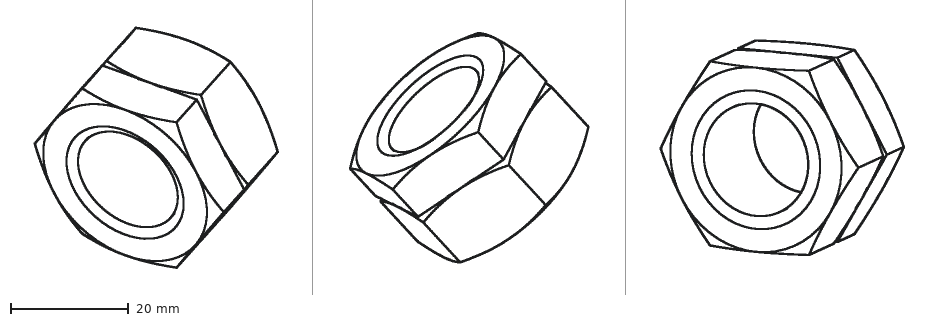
import cadquery as cq
import math

hexagon_sides = 6
across_corners = 36.95
corner_radius = across_corners / 2
flat_radius = corner_radius * math.cos(math.pi / hexagon_sides)

corner_chamfer_angle = 30.0
corner_chamfer_length = (corner_radius - flat_radius) * math.tan(math.radians(corner_chamfer_angle))

total_length = 21.4
head_length = 8.4

countersink_face_angle = 30.0
bore_radius = 19.5 / 2
countersink_radius = 22.9 / 2
countersink_depth = (countersink_radius - bore_radius) * math.tan(math.radians(countersink_face_angle))

sleeve_radius = 24.0 / 2

front_y = -total_length / 2
joint_y = front_y + head_length
back_y = total_length / 2


def revolve_about_axis(outline):
    """Turn a closed (radius, y) outline about the Y axis."""
    return cq.Workplane("XY").polyline(outline).close().revolve(360, (0, 0), (0, 1))


def cylinder(radius, start_y, end_y):
    """Round bar along Y."""
    return cq.Workplane("XZ", origin=(0, end_y, 0)).circle(radius).extrude(end_y - start_y)


def chamfered_hexagon(start_y, end_y, chamfer_end):
    """Hexagonal bar along Y, corner-chamfered at its start and optionally at its end."""
    prism = (
        cq.Workplane("XZ", origin=(0, end_y, 0))
        .polygon(hexagon_sides, across_corners)
        .extrude(end_y - start_y)
    )
    envelope = [
        (0, start_y),
        (flat_radius, start_y),
        (corner_radius, start_y + corner_chamfer_length),
    ]
    if chamfer_end:
        envelope += [(corner_radius, end_y - corner_chamfer_length), (flat_radius, end_y)]
    else:
        envelope += [(corner_radius, end_y)]
    envelope += [(0, end_y)]
    return prism.intersect(revolve_about_axis(envelope))


def countersunk_bore():
    """Cutter for the through bore and the countersink at the head face."""
    return revolve_about_axis([
        (0, front_y),
        (countersink_radius, front_y),
        (bore_radius, front_y + countersink_depth),
        (bore_radius, back_y),
        (0, back_y),
    ])


def make_hex_bushing():
    """Thin hexagon head with a sleeve behind it, bored through in one piece."""
    head = chamfered_hexagon(front_y, joint_y, chamfer_end=False)
    sleeve = cylinder(sleeve_radius, front_y, back_y)
    return head.union(sleeve).cut(countersunk_bore())


def make_nut():
    """Thick hexagon nut, chamfered at both ends, with a hole that fits the sleeve."""
    blank = chamfered_hexagon(joint_y, back_y, chamfer_end=True)
    return blank.cut(cylinder(sleeve_radius, joint_y, back_y))


hex_bushing = make_hex_bushing()
nut = make_nut()

result = cq.Compound.makeCompound([hex_bushing.solids().val(), nut.solids().val()])